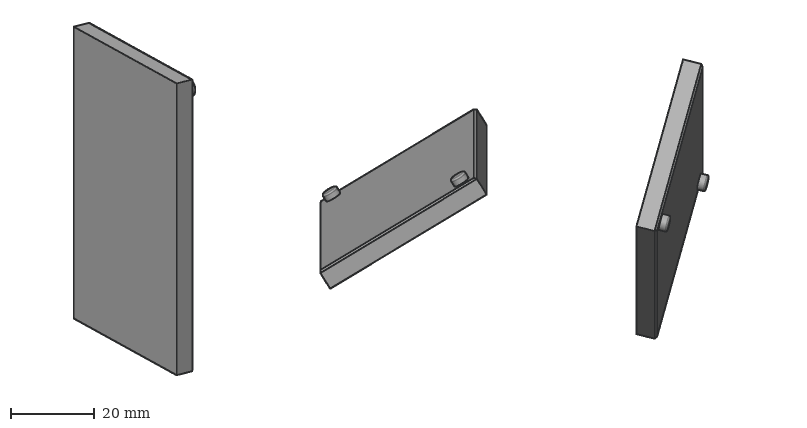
import cadquery as cq

width = 44.0
depth = 7.0
height = 75.25

pin_diameter = 4.0
pin_length = 1.95
pin_inset = pin_diameter
pin_rounding = 0.45

plate_thickness = depth - pin_length
plate_chamfer = 0.5


def make_plate():
    """Upright plate, chamfered all round its back face."""
    plate = cq.Workplane("XY").box(width, plate_thickness, height, centered=(True, False, True))
    return plate.faces(">Y").chamfer(plate_chamfer)


def make_pins():
    """Two pins in diagonally opposite corners, each with a rounded free end."""
    pin_x = width / 2 - pin_inset
    pin_z = height / 2 - pin_inset
    pins = (
        cq.Workplane("XZ")
        .pushPoints([(-pin_x, -pin_z), (pin_x, pin_z)])
        .circle(pin_diameter / 2)
        .extrude(-depth)
    )
    return pins.faces(">Y").edges().fillet(pin_rounding)


result = make_plate().union(make_pins())